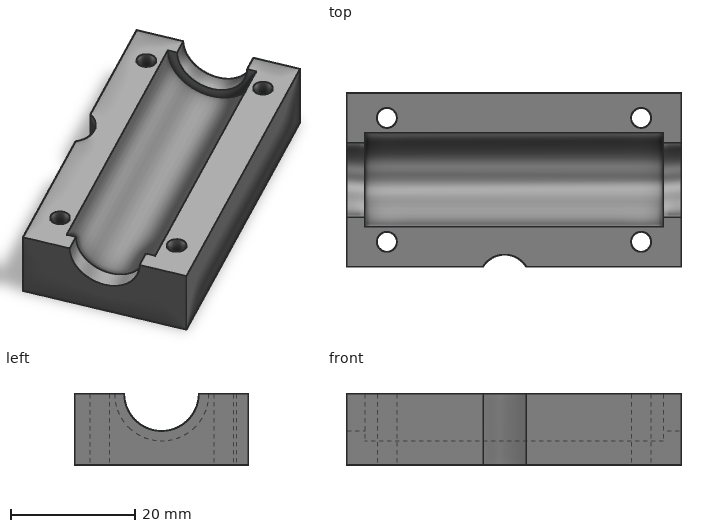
import cadquery as cq

length = 54.0
width = 28.0
height = 11.5

end_bore_diameter = 12.0
chamber_diameter = 15.2
end_wall = 2.95
chamber_length = length - 2 * end_wall

bolt_diameter = 3.2
bolt_spacing_x = 41.0
bolt_spacing_y = 20.0

notch_center_x = -1.5
notch_width = 6.95
notch_depth = 1.95


def bore(diameter, bore_length):
    """Cylinder along X whose axis lies in the split face."""
    return (
        cq.Workplane("YZ", origin=(-bore_length / 2, 0, height))
        .circle(diameter / 2)
        .extrude(bore_length)
    )


def side_notch():
    """Shallow arc-shaped groove running up the full height of the -Y side."""
    side_y = -width / 2
    return (
        cq.Workplane("XY")
        .moveTo(notch_center_x - notch_width / 2, side_y)
        .threePointArc(
            (notch_center_x, side_y + notch_depth),
            (notch_center_x + notch_width / 2, side_y),
        )
        .close()
        .extrude(height)
    )


block = cq.Workplane("XY").box(length, width, height, centered=(True, True, False))

bolt_holes = (
    cq.Workplane("XY")
    .rarray(bolt_spacing_x, bolt_spacing_y, 2, 2)
    .circle(bolt_diameter / 2)
    .extrude(height)
)

result = (
    block.cut(bore(end_bore_diameter, length))
    .cut(bore(chamber_diameter, chamber_length))
    .cut(bolt_holes)
    .cut(side_notch())
)